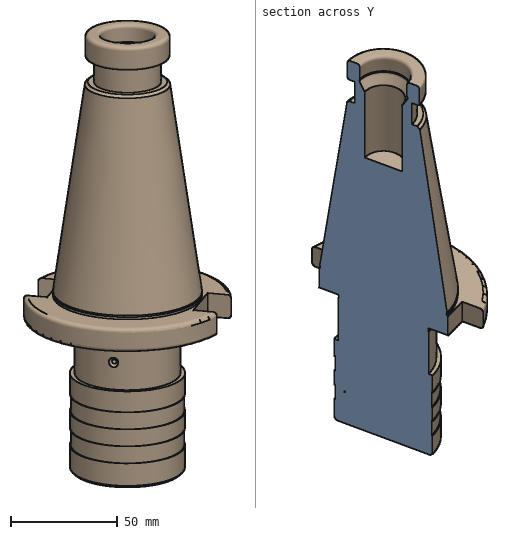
import cadquery as cq
import math

total_height = 216.8

axis_start = (0, 0, 0)
axis_end = (0, 1, 0)

relief_height = 2.0
relief_depth = 0.33

band_radius = 27.0
small_band_radius = 26.7
shank_chamfer = 1.3
band_bottom = 12.4
band_pitch = 8.5
small_band_count = 2
shank_top = 48.1

neck_radius = 25.0
neck_top = 75.0

flange_radius = 48.8
flange_top = 86.7
flange_fillet = 2.0
drive_slot_width = 25.5
drive_slot_floor = 35.5

taper_base_radius = 35.1
taper_base = flange_top + relief_height
taper_top = 192.7
taper_top_chamfer = 1.3
taper_rate = 7 / 48

groove_radius = 15.8
head_radius = 20.0
head_bottom = 205.0
head_bottom_fillet = 1.3
head_top_fillet = 2.0

bore_radius = 12.8
bore_depth = 10.6
bore_mouth_fillet = 2.0
seat_half_angle = 30
thread_hole_radius = 10.2
thread_hole_depth = 54.2

side_hole_height = 61.5
side_hole_radius = 1.0
side_hole_mouth_radius = 2.4
side_hole_depth = 6.5


def cylinder(radius, bottom, top):
    return cq.Workplane("XY").workplane(offset=bottom).circle(radius).extrude(top - bottom)


def grooved_cylinder(radius, bottom):
    """Short cylinder waisted by the relief groove over its whole height."""
    return (
        cq.Workplane("XZ")
        .moveTo(0, bottom)
        .lineTo(radius, bottom)
        .lineTo(radius - relief_depth, bottom + relief_height / 2)
        .lineTo(radius, bottom + relief_height)
        .lineTo(0, bottom + relief_height)
        .close()
        .revolve(360, axis_start, axis_end)
    )


def make_shank():
    shank = cylinder(band_radius, 0, shank_top).faces("<Z").chamfer(shank_chamfer)
    for index in range(small_band_count):
        bottom = band_bottom + 2 * index * band_pitch
        ring = cylinder(band_radius, bottom, bottom + band_pitch)
        shank = shank.cut(ring.cut(cylinder(small_band_radius, bottom, bottom + band_pitch)))
    neck = cylinder(neck_radius, shank_top, neck_top - relief_height)
    relief = grooved_cylinder(neck_radius, neck_top - relief_height)
    return shank.union(neck).union(relief)


def make_flange():
    flange = cylinder(flange_radius, neck_top, flange_top).edges().fillet(flange_fillet)
    slot_depth = flange_radius - drive_slot_floor
    for side in (-1, 1):
        slot = cq.Workplane("XY").box(slot_depth, drive_slot_width, total_height)
        flange = flange.cut(slot.translate((side * (drive_slot_floor + slot_depth / 2), 0, 0)))
    return flange


def make_taper():
    relief = grooved_cylinder(taper_base_radius, flange_top)
    taper_top_radius = taper_base_radius - taper_rate * (taper_top - taper_base)
    taper = (
        cq.Workplane("XZ")
        .moveTo(0, taper_base)
        .lineTo(taper_base_radius, taper_base)
        .lineTo(taper_top_radius, taper_top)
        .lineTo(0, taper_top)
        .close()
        .revolve(360, axis_start, axis_end)
        .faces(">Z")
        .chamfer(taper_top_chamfer)
    )
    return relief.union(taper)


def make_pull_end():
    groove = cylinder(groove_radius, taper_top, head_bottom)
    head = cylinder(head_radius, head_bottom, total_height)
    head = head.faces(">Z").edges().fillet(head_top_fillet)
    head = head.faces("<Z").edges().fillet(head_bottom_fillet)
    return groove.union(head)


def make_centre_bore():
    """Rounded mouth, bore with relief groove, conical seat and blind thread hole as one cutting solid."""
    mouth_radius = bore_radius + bore_mouth_fillet
    mouth_bottom = total_height - bore_mouth_fillet
    seat_top = total_height - bore_depth
    seat_bottom = seat_top - (bore_radius - thread_hole_radius) / math.tan(math.radians(seat_half_angle))
    hole_bottom = total_height - thread_hole_depth
    arc_inset = bore_mouth_fillet * math.sqrt(0.5)
    return (
        cq.Workplane("XZ")
        .moveTo(0, total_height)
        .lineTo(mouth_radius, total_height)
        .threePointArc((mouth_radius - arc_inset, mouth_bottom + arc_inset), (bore_radius, mouth_bottom))
        .lineTo(bore_radius, seat_top + relief_height)
        .lineTo(bore_radius + relief_depth, seat_top + relief_height / 2)
        .lineTo(bore_radius, seat_top)
        .lineTo(thread_hole_radius, seat_bottom)
        .lineTo(thread_hole_radius, hole_bottom)
        .lineTo(0, hole_bottom)
        .close()
        .revolve(360, axis_start, axis_end)
    )


def make_side_hole():
    """Countersunk blind hole entering the neck from the -Y side."""
    countersink_depth = side_hole_mouth_radius - side_hole_radius
    return (
        cq.Workplane("XY")
        .moveTo(0, -neck_radius)
        .lineTo(side_hole_mouth_radius, -neck_radius)
        .lineTo(side_hole_radius, countersink_depth - neck_radius)
        .lineTo(side_hole_radius, side_hole_depth - neck_radius)
        .lineTo(0, side_hole_depth - neck_radius)
        .close()
        .revolve(360, axis_start, axis_end)
        .translate((0, 0, side_hole_height))
    )


body = make_shank().union(make_flange()).union(make_taper()).union(make_pull_end())
result = body.cut(make_centre_bore()).cut(make_side_hole())